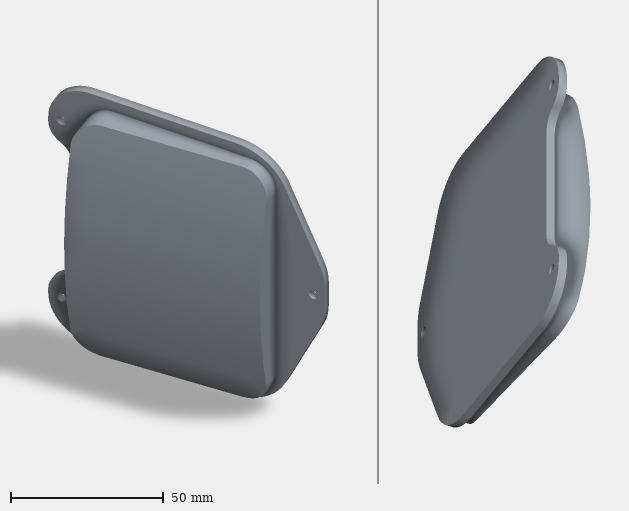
import cadquery as cq
import math

plate_length = 102.0
plate_height = 108.0
plate_thickness = 3.0
left_corner_radius = 16.0
nose_radius = 20.0
shoulder_center_x = 69.1
nose_center_z = 5.3

recess_depth = 9.0
ear_height = 18.0
ear_arc_radius = 8.2
recess_arc_radius = 9.0

hole_diameter = 3.5
ear_hole_x = 5.0
ear_hole_z = 38.0
nose_hole_x = 97.7

pod_left = 14.1
pod_length = 69.9
pod_height = 99.0
pod_corner_radius = 10.0
crown_radius = 179.3
crown_left_depth = 18.8
crown_right_depth = 14.3

half_height = plate_height / 2


def arc_point(center, radius, degrees):
    """Point on a circle, with the angle measured from +X toward +Z."""
    angle = math.radians(degrees)
    return (center[0] + radius * math.cos(angle), center[1] + radius * math.sin(angle))


def make_plate_half():
    """Upper half of the plate, from Z = 0 to the upper edge."""
    sweep = math.degrees(math.acos(1 - recess_depth / (ear_arc_radius + recess_arc_radius)))
    ear_center = (ear_arc_radius, half_height - ear_height)
    inflection = arc_point(ear_center, ear_arc_radius, 180 + sweep)
    recess_center = arc_point(ear_center, ear_arc_radius + recess_arc_radius, 180 + sweep)

    shoulder_center = (shoulder_center_x, half_height - nose_radius)
    nose_center = (plate_length - nose_radius, nose_center_z)
    run = nose_center[0] - shoulder_center[0]
    drop = shoulder_center[1] - nose_center[1]
    slope_angle = math.degrees(math.atan2(run, drop))

    left_center = (left_corner_radius, half_height - left_corner_radius)
    return (
        cq.Workplane("XZ")
        .moveTo(recess_depth, 0)
        .lineTo(recess_depth, recess_center[1])
        .threePointArc(arc_point(recess_center, recess_arc_radius, sweep / 2), inflection)
        .threePointArc(
            arc_point(ear_center, ear_arc_radius, 180 + sweep / 2),
            (0, ear_center[1]),
        )
        .lineTo(0, left_center[1])
        .threePointArc(
            arc_point(left_center, left_corner_radius, 135),
            (left_corner_radius, half_height),
        )
        .lineTo(shoulder_center_x, half_height)
        .threePointArc(
            arc_point(shoulder_center, nose_radius, (90 + slope_angle) / 2),
            arc_point(shoulder_center, nose_radius, slope_angle),
        )
        .lineTo(*arc_point(nose_center, nose_radius, slope_angle))
        .threePointArc(
            arc_point(nose_center, nose_radius, slope_angle / 2),
            (plate_length, nose_center_z),
        )
        .lineTo(plate_length, 0)
        .close()
        .extrude(plate_thickness)
    )


def make_plate():
    """Symmetric mounting plate with three through holes."""
    upper_half = make_plate_half()
    hole_places = [(ear_hole_x, ear_hole_z), (ear_hole_x, -ear_hole_z), (nose_hole_x, 0)]
    holes = (
        cq.Workplane("XZ")
        .pushPoints(hole_places)
        .circle(hole_diameter / 2)
        .extrude(plate_thickness)
    )
    return upper_half.union(upper_half.mirror("XY")).clean().cut(holes)


def make_pod():
    """Rounded block on the plate front, trimmed to a sloping cylindrical crown."""
    block = (
        cq.Workplane("XZ", origin=(pod_left + pod_length / 2, -plate_thickness, 0))
        .rect(pod_length, pod_height)
        .extrude(crown_left_depth - plate_thickness)
        .edges("|Y")
        .fillet(pod_corner_radius)
    )
    slope = math.atan2(crown_left_depth - crown_right_depth, pod_length)
    direction = cq.Vector(math.cos(slope), math.sin(slope), 0)
    inward = cq.Vector(-math.sin(slope), math.cos(slope), 0)
    crown_start = cq.Vector(pod_left, -crown_left_depth, 0)
    axis_start = crown_start + inward * crown_radius - direction * pod_length
    crown = cq.Solid.makeCylinder(crown_radius, 3 * pod_length, axis_start, direction)
    return block.intersect(cq.Workplane(obj=crown))


plate = make_plate()
pod = make_pod()
result = cq.Compound.makeCompound([plate.solids().val(), pod.solids().val()])